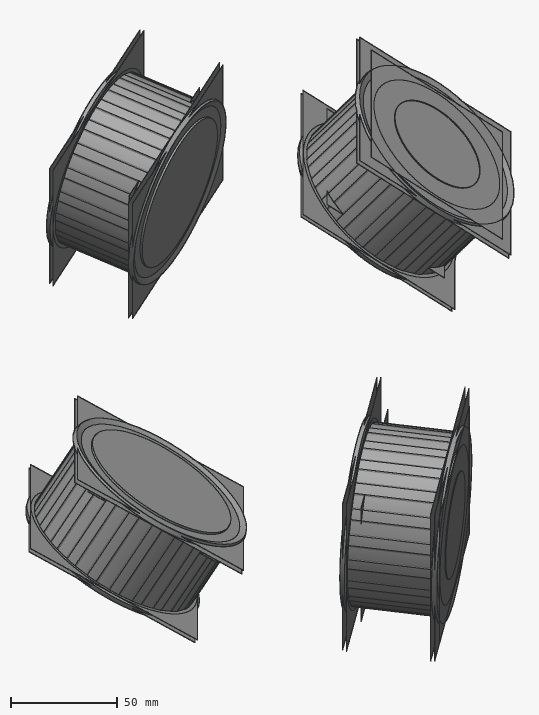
import cadquery as cq
import math

groove_count = 22
tip_radius = 43.9
groove_half_angle = math.radians(4.1)
groove_depth = 0.2
groove_wall_run = 0.6
face_width = 40.1

hub_radius = 38.1
boss_radius = 25.7
boss_height = 0.5

flange_depth = 3.1
flange_thickness = 2.0
flange_radius = 47.5
rim_inner_radius = 46.7
floor_radius = 43.6
back_radius = 45.4
rim_peak_offset = 0.8

sheet_thickness = 0.1
front_sheet_side = 91.4
back_sheet_side = 91.95
cheek_side = 79.4
web_side = 71.1
web_offset = 14.9

root_radius = tip_radius - groove_depth
half_face = face_width / 2
hub_half_length = half_face + flange_depth


def disc(x_start, length, radius):
    return cq.Workplane("YZ", origin=(x_start, 0, 0)).circle(radius).extrude(length)


def square_sheet(x_start, side):
    return cq.Workplane("YZ", origin=(x_start, 0, 0)).rect(side, side).extrude(sheet_thickness)


def polar(radius, angle):
    return (radius * math.cos(angle), radius * math.sin(angle))


def grooved_rim():
    """Cylinder with wide, shallow, slant-walled grooves; the first groove is centred on +Y."""
    pitch_angle = 2 * math.pi / groove_count
    land_start = groove_half_angle + groove_wall_run / root_radius
    outline = cq.Workplane("YZ", origin=(-half_face, 0, 0)).moveTo(*polar(root_radius, -groove_half_angle))
    for groove in range(groove_count):
        groove_centre = groove * pitch_angle
        land_centre = groove_centre + pitch_angle / 2
        next_groove = groove_centre + pitch_angle
        outline = (
            outline.threePointArc(
                polar(root_radius, groove_centre),
                polar(root_radius, groove_centre + groove_half_angle),
            )
            .lineTo(*polar(tip_radius, groove_centre + land_start))
            .threePointArc(polar(tip_radius, land_centre), polar(tip_radius, next_groove - land_start))
        )
        if groove < groove_count - 1:
            outline = outline.lineTo(*polar(root_radius, next_groove - groove_half_angle))
    return outline.close().extrude(face_width)


def make_drum():
    """Grooved rim on its hub, with the boss and the cheek and web sheets."""
    cheek_end = -hub_half_length - sheet_thickness
    hub = disc(cheek_end, 2 * hub_half_length + sheet_thickness, hub_radius)
    boss = disc(cheek_end - boss_height, boss_height, boss_radius)
    cheek = square_sheet(cheek_end, cheek_side)
    web = square_sheet(web_offset, web_side)
    return grooved_rim().union(hub).union(boss).union(cheek).union(web)


def make_flange():
    """Flange on the -X end: dished ring with a flared rim and a square sheet on each flat face."""
    floor_x = -half_face - flange_thickness
    profile = [
        (-half_face, hub_radius),
        (-half_face, back_radius),
        (-half_face - rim_peak_offset, flange_radius),
        (-hub_half_length, rim_inner_radius),
        (floor_x, floor_radius),
        (floor_x, hub_radius),
    ]
    ring = cq.Workplane("XY").polyline(profile).close().revolve(360, (0, 0, 0), (1, 0, 0))
    front_sheet = square_sheet(floor_x, front_sheet_side)
    back_sheet = square_sheet(-half_face - sheet_thickness, back_sheet_side)
    hub_bore = disc(-hub_half_length, flange_depth, hub_radius)
    return ring.union(front_sheet.union(back_sheet).cut(hub_bore))


drum = make_drum()
flange = make_flange()
opposite_flange = flange.mirror("YZ")

result = cq.Compound.makeCompound([drum.val(), flange.val(), opposite_flange.val()])